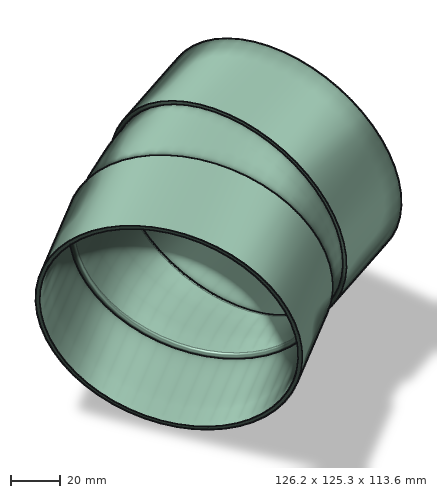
import cadquery as cq
import math

socket_diameter = 113.6
socket_bore = 110.0
socket_length = 42.0
bend_diameter = 110.0
bend_bore = 106.3
bend_angle = 15.0
bend_radius = 108.2

bend_start = socket_length
angle = math.radians(bend_angle)
bend_end_x = bend_radius * (1 - math.cos(angle))
bend_end_y = bend_start + bend_radius * math.sin(angle)


def socket_plane(x, y, turn):
    """Plane across the pipe, facing along a centre line turned from +Y towards +X."""
    return cq.Plane(
        origin=(x, y, 0),
        xDir=(0, 0, 1),
        normal=(math.sin(turn), math.cos(turn), 0),
    )


inlet_plane = socket_plane(0, 0, 0)
bend_plane = socket_plane(0, bend_start, 0)
inlet_cavity_plane = socket_plane(0, bend_start, math.pi)
outlet_plane = socket_plane(bend_end_x, bend_end_y, angle)


def rod(plane, diameter):
    """Solid cylinder as long as a socket."""
    return cq.Workplane(plane).circle(diameter / 2).extrude(socket_length)


def bent_rod(diameter):
    """Revolve a round section about the bend's axis, which is parallel to Z."""
    return (
        cq.Workplane(bend_plane)
        .circle(diameter / 2)
        .revolve(bend_angle, (1.3, bend_radius, 0), (0, bend_radius, 0))
    )


def socket_cavity(plane):
    """Socket bore whose inner end narrows over a quarter-round lip to the bend's bore.

    The plane lies at the bend's end and faces out of the pipe.
    """
    bend_bore_radius = bend_bore / 2
    socket_bore_radius = socket_bore / 2
    lip_radius = socket_bore_radius - bend_bore_radius
    lip_middle = lip_radius * math.sqrt(0.5)
    cavity = (
        cq.Workplane("XZ")
        .lineTo(bend_bore_radius, 0)
        .threePointArc(
            (socket_bore_radius - lip_middle, lip_middle),
            (socket_bore_radius, lip_radius),
        )
        .lineTo(socket_bore_radius, socket_length)
        .lineTo(0, socket_length)
        .close()
        .revolve(360, (0, 0), (0, 1))
    )
    return cq.Workplane(cavity.val().located(plane.location))


body = (
    rod(inlet_plane, socket_diameter)
    .union(bent_rod(bend_diameter))
    .union(rod(outlet_plane, socket_diameter))
)
passage = (
    bent_rod(bend_bore)
    .union(socket_cavity(inlet_cavity_plane))
    .union(socket_cavity(outlet_plane))
)
result = body.cut(passage)